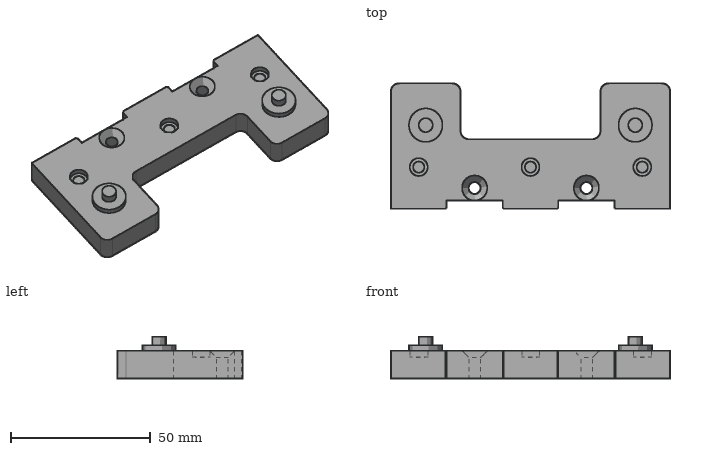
import cadquery as cq

length = 100.0
depth = 45.0
thickness = 10.0
arm_width = 25.0
bridge_depth = 25.0
corner_radius = 3.0

stretch_count = 5
notch_width = length / stretch_count
notch_depth = 3.0
notch_offset = notch_width
notch_chamfer = 0.5

pin_offset = (length - arm_width) / 2
pin_y = 30.0
flange_diameter = 12.0
flange_height = 2.0
pin_diameter = 5.0
pin_height = 3.0

pocket_spacing = 40.0
pocket_y = 15.0
pocket_diameter = 6.4
pocket_depth = 2.1
recess_diameter = 4.0
recess_depth = 0.2

screw_y = 7.5
screw_diameter = 4.2
countersink_diameter = 9.0
countersink_angle = 90.0


def mirrored_points(offset, y):
    """Two points at the same y, one on each side of the YZ plane."""
    return [(-offset, y), (offset, y)]


def discs(points, diameter, bottom, height):
    """Upright cylinders standing at the given points."""
    plane = cq.Workplane("XY", origin=(0, 0, bottom))
    return plane.pushPoints(points).circle(diameter / 2).extrude(height)


def make_plate():
    """U-shaped plate with rounded arm ends and rounded inner corners."""
    opening_width = length - 2 * arm_width
    opening_depth = depth - bridge_depth
    plate = cq.Workplane("XY").box(length, depth, thickness, centered=(True, False, False))
    opening = (
        cq.Workplane("XY", origin=(0, bridge_depth, 0))
        .box(opening_width, opening_depth, thickness, centered=(True, False, False))
    )
    return plate.cut(opening).edges("|Z and (not <Y)").fillet(corner_radius)


def cut_notches(body):
    """Full-height notches in the front edge, with their outer corners chamfered."""
    notches = (
        cq.Workplane("XY")
        .pushPoints(mirrored_points(notch_offset, 0))
        .rect(notch_width, 2 * notch_depth)
        .extrude(thickness)
    )
    body = body.cut(notches)
    for notch_x in (-notch_offset, notch_offset):
        for side in (-1, 1):
            corner = (notch_x + side * notch_width / 2, 0, thickness / 2)
            body = body.edges(cq.NearestToPointSelector(corner)).chamfer(notch_chamfer)
    return body


def add_pins(body):
    """Flanges on the arms, each with a smaller pin standing on it."""
    points = mirrored_points(pin_offset, pin_y)
    flanges = discs(points, flange_diameter, thickness, flange_height)
    pins = discs(points, pin_diameter, thickness, flange_height + pin_height)
    return body.union(flanges).union(pins)


def cut_pockets(body):
    """Blind round pockets, stepped down to a smaller shallow recess."""
    points = [(0, pocket_y)] + mirrored_points(pocket_spacing, pocket_y)
    pockets = discs(points, pocket_diameter, thickness, -pocket_depth)
    recesses = discs(points, recess_diameter, thickness, -(pocket_depth + recess_depth))
    return body.cut(pockets).cut(recesses)


def cut_screw_holes(body):
    """Through holes countersunk from the top of the plate."""
    return (
        body.copyWorkplane(cq.Workplane("XY", origin=(0, 0, thickness)))
        .pushPoints(mirrored_points(notch_offset, screw_y))
        .cskHole(screw_diameter, countersink_diameter, countersink_angle)
    )


plate = cut_notches(make_plate())
plate_with_pins = add_pins(plate)
result = cut_screw_holes(cut_pockets(plate_with_pins)).solids()